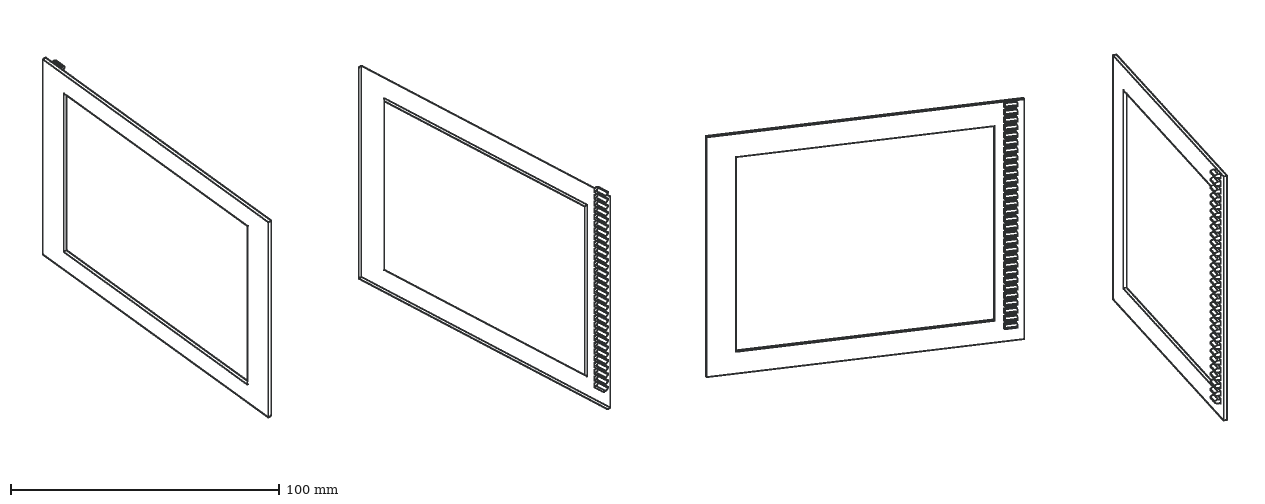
import cadquery as cq

width = 123.0
height = 98.8
depth = 3.8
plate_thickness = 1.5
side_border = 11.5
top_border = 9.6
bottom_border = 9.0

tooth_count = 30
tooth_row_height = 94.3
tooth_pitch = tooth_row_height / tooth_count
tooth_length = 4.8
tooth_inset = 3.2
first_tooth_drop = 1.05

tooth_height = depth - plate_thickness
tip_width = 0.5
shoulder_width = 1.2
shoulder_height = 1.8
belly_width = 1.7
belly_height = 1.0
neck_width = 1.5
neck_height = 0.6
flare_width = 1.6
flare_height = 0.2
root_width = 2.0


def frame():
    plate = cq.Workplane("XY").box(width, plate_thickness, height, centered=False)
    window_width = width - 2 * side_border
    window_height = height - top_border - bottom_border
    window = cq.Workplane("XY").box(window_width, plate_thickness, window_height, centered=False)
    return plate.cut(window.translate((side_border, 0, bottom_border)))


def tooth(middle_z):
    """A rounded tooth with a narrow neck and a root flaring into the plate."""
    return (
        cq.Workplane("YZ", origin=(tooth_inset, plate_thickness, middle_z))
        .moveTo(0, -root_width / 2)
        .threePointArc((flare_height, -flare_width / 2), (neck_height, -neck_width / 2))
        .lineTo(belly_height, -belly_width / 2)
        .threePointArc((shoulder_height, -shoulder_width / 2), (tooth_height, -tip_width / 2))
        .lineTo(tooth_height, tip_width / 2)
        .threePointArc((shoulder_height, shoulder_width / 2), (belly_height, belly_width / 2))
        .lineTo(neck_height, neck_width / 2)
        .threePointArc((flare_height, flare_width / 2), (0, root_width / 2))
        .close()
        .extrude(tooth_length)
    )


result = frame()
for index in range(tooth_count):
    result = result.union(tooth(height - first_tooth_drop - index * tooth_pitch))